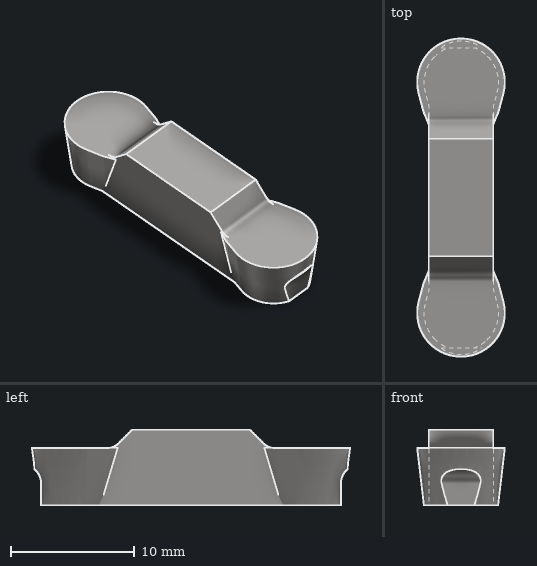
import cadquery as cq
import math

length = 25.8
head_width = 7.12
total_height = 6.15
head_height = 4.67

head_radius = head_width / 2
head_center_y = length / 2 - head_radius
wall_draft = 6.7
flank_angle = 15.0
neck_angle = 23.0
knee_y = 6.95
root_half_width = 2.06

body_width = 5.25
body_half_length = 7.75
ridge_half_length = 4.77
ramp_angle = 45.0
ramp_fillet = 1.19

relief_y = 12.15
relief_straight_height = 1.78
relief_radius = 1.52
relief_arc_angle = 75.0


def make_head():
    """Head at +Y, tapered downward from its top outline."""
    flank = math.radians(flank_angle)
    tangent_x = head_radius * math.cos(flank)
    tangent_y = head_center_y - head_radius * math.sin(flank)
    knee_x = tangent_x - (tangent_y - knee_y) * math.tan(flank)
    root_y = knee_y - (knee_x - root_half_width) / math.tan(math.radians(neck_angle))
    return (
        cq.Workplane("XY", origin=(0, 0, head_height))
        .moveTo(-root_half_width, root_y)
        .lineTo(root_half_width, root_y)
        .lineTo(knee_x, knee_y)
        .lineTo(tangent_x, tangent_y)
        .threePointArc((0, length / 2), (-tangent_x, tangent_y))
        .lineTo(-knee_x, knee_y)
        .close()
        .extrude(-head_height, taper=wall_draft)
    )


def make_relief():
    """Cutter with a vertical face that curves outward at its top."""
    def arc_point(angle):
        turn = math.radians(angle)
        return (
            relief_y + relief_radius * (1 - math.cos(turn)),
            relief_straight_height + relief_radius * math.sin(turn),
        )

    arc_end = arc_point(relief_arc_angle)
    return (
        cq.Workplane("YZ")
        .moveTo(relief_y, 0)
        .lineTo(relief_y, relief_straight_height)
        .threePointArc(arc_point(relief_arc_angle / 2), arc_end)
        .lineTo(arc_end[0], 0)
        .close()
        .extrude(head_width / 2, both=True)
    )


def make_body():
    """Raised center block with ramps that blend into the head tops."""
    ramp = math.radians(ramp_angle)
    rise = total_height - head_height
    ramp_foot_y = ridge_half_length + rise / math.tan(ramp)
    blend = ramp_fillet * math.tan(ramp / 2)
    blend_end_y = ramp_foot_y + blend
    blend_start = (ramp_foot_y - blend * math.cos(ramp), head_height + blend * math.sin(ramp))
    blend_middle = (
        blend_end_y - ramp_fillet * math.sin(ramp / 2),
        head_height + ramp_fillet * (1 - math.cos(ramp / 2)),
    )
    return (
        cq.Workplane("YZ")
        .moveTo(-body_half_length, 0)
        .lineTo(body_half_length, 0)
        .lineTo(body_half_length, head_height)
        .lineTo(blend_end_y, head_height)
        .threePointArc(blend_middle, blend_start)
        .lineTo(ridge_half_length, total_height)
        .lineTo(-ridge_half_length, total_height)
        .lineTo(-blend_start[0], blend_start[1])
        .threePointArc((-blend_middle[0], blend_middle[1]), (-blend_end_y, head_height))
        .lineTo(-body_half_length, head_height)
        .close()
        .extrude(body_width / 2, both=True)
    )


head = make_head().cut(make_relief())
result = make_body().union(head).union(head.mirror("XZ")).clean()